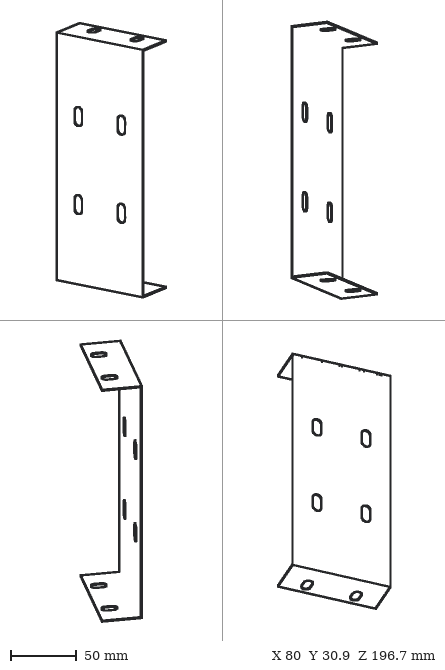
import cadquery as cq

sheet_thickness = 1.0
bend_inner_radius = 0.13

width = 80.0
height = 196.74
depth = 30.87
inside_height = height - 2 * sheet_thickness
inside_depth = depth - sheet_thickness

slot_width = 7.0
slot_pitch_x = 40.0

web_slot_length = 15.0
web_slot_pitch_z = 70.0

flange_slot_length = 12.0
flange_slot_setback = 21.0

front_y = -depth / 2
flange_slot_y = front_y + flange_slot_setback


def make_channel():
    """U-shaped sheet, square outside and slightly rounded inside the bends."""
    outer = cq.Workplane("XY").box(width, depth, height)
    hollow = (
        cq.Workplane("XY")
        .box(width, inside_depth, inside_height)
        .faces("<Y")
        .edges("|X")
        .fillet(bend_inner_radius)
        .translate((0, sheet_thickness / 2, 0))
    )
    return outer.cut(hollow)


def make_web_slots():
    """Four upright slots in a rectangular pattern through the web."""
    return (
        cq.Workplane("XZ", origin=(0, front_y + sheet_thickness, 0))
        .rarray(slot_pitch_x, web_slot_pitch_z, 2, 2)
        .slot2D(web_slot_length, slot_width, angle=90)
        .extrude(sheet_thickness)
    )


def make_flange_slots():
    """Two slots, lengthwise along Y, running through both flanges."""
    return (
        cq.Workplane("XY", origin=(0, flange_slot_y, -height / 2))
        .pushPoints([(-slot_pitch_x / 2, 0), (slot_pitch_x / 2, 0)])
        .slot2D(flange_slot_length, slot_width, angle=90)
        .extrude(height)
    )


result = make_channel().cut(make_web_slots()).cut(make_flange_slots())